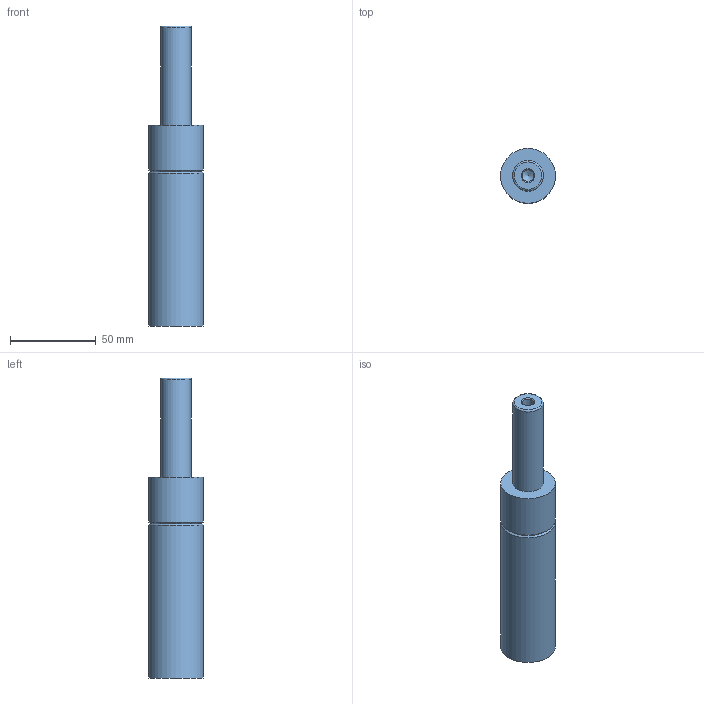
import cadquery as cq
import math

total_length = 175.0
body_diameter = 32.0
body_length = 117.0
rod_diameter = 18.0
rod_end_radius = 1.0

head_length = 26.0
groove_depth = 1.0
groove_width = 2.0 * groove_depth

thread_diameter = 8.0
core_diameter = 6.8
hole_depth = 20.0
drill_tip_angle = 118.0

body_radius = body_diameter / 2
rod_radius = rod_diameter / 2
thread_radius = thread_diameter / 2
core_radius = core_diameter / 2


def make_body():
    """Barrel and head, standing on the XY plane, separated by the V-groove."""
    groove_top = body_length - head_length
    return (
        cq.Workplane("XZ")
        .moveTo(0, 0)
        .lineTo(body_radius, 0)
        .lineTo(body_radius, groove_top - groove_width)
        .lineTo(body_radius - groove_depth, groove_top - groove_width / 2)
        .lineTo(body_radius, groove_top)
        .lineTo(body_radius, body_length)
        .lineTo(0, body_length)
        .close()
        .revolve(360, (0, 0, 0), (0, 1, 0))
    )


def make_rod():
    """Piston rod on top of the body, rounded at its free end."""
    return (
        cq.Workplane("XY")
        .workplane(offset=body_length)
        .circle(rod_radius)
        .extrude(total_length - body_length)
        .faces(">Z")
        .fillet(rod_end_radius)
    )


def make_rod_hole():
    """Blind drilled hole with a 90 degree countersink and a conical drill tip."""
    countersink_depth = thread_radius - core_radius
    tip_height = core_radius / math.tan(math.radians(drill_tip_angle / 2))
    hole_bottom = total_length - hole_depth
    return (
        cq.Workplane("XZ")
        .moveTo(0, total_length)
        .lineTo(thread_radius, total_length)
        .lineTo(core_radius, total_length - countersink_depth)
        .lineTo(core_radius, hole_bottom)
        .lineTo(0, hole_bottom - tip_height)
        .close()
        .revolve(360, (0, 0, 0), (0, 1, 0))
    )


result = make_body().union(make_rod()).cut(make_rod_hole())